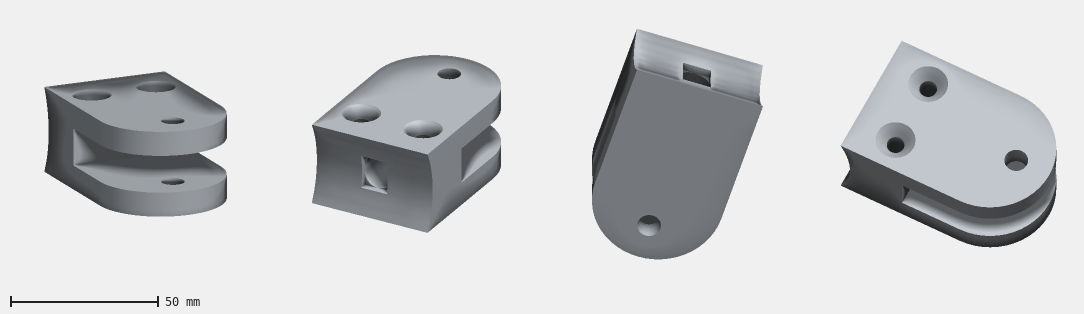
import cadquery as cq

length = 68.0
width = 45.0
height = 30.0

seat_radius = 33.0
seat_lining = 2.05

slot_start = 23.5
slot_height = 13.0

window_width = 10.0
window_height = 12.05

pin_x = 55.5
pin_diameter = 8.0
screw_x = 15.6
screw_spacing = 24.0
screw_diameter = 6.0
countersink_diameter = 13.5
screw_depth = 22.45
drill_tip_height = 1.7

nose_radius = width / 2
top_z = height / 2
seat_depth = seat_radius - (seat_radius**2 - top_z**2) ** 0.5


def clamp_body():
    """Block with a half-round nose, centred on the X axis."""
    straight_end = length - nose_radius
    return (
        cq.Workplane("XY", origin=(0, 0, -top_z))
        .moveTo(0, -nose_radius)
        .lineTo(straight_end, -nose_radius)
        .threePointArc((length, 0), (straight_end, nose_radius))
        .lineTo(0, nose_radius)
        .close()
        .extrude(height)
    )


def post_seat():
    """Cylinder that hollows the back face."""
    seat_axis_x = seat_depth - seat_radius
    return (
        cq.Workplane("XZ", origin=(seat_axis_x, 0, 0))
        .circle(seat_radius)
        .extrude(width, both=True)
    )


def glass_slot():
    slot_length = length - slot_start
    return cq.Workplane("XY").box(slot_length, width, slot_height).translate(
        (slot_start + slot_length / 2, 0, 0)
    )


def seat_window():
    """Rounded passage with a rectangular mouth as deep as the seat lining."""
    passage = (
        cq.Workplane("YZ")
        .slot2D(window_height, window_width, 90)
        .extrude(slot_start)
    )
    mouth_floor = seat_depth + seat_lining
    mouth = cq.Workplane("YZ").rect(window_width, window_height).extrude(mouth_floor)
    return passage.union(mouth)


def screw_hole(y):
    """Blind 90-degree countersunk hole with a conical drill tip."""
    screw_radius = screw_diameter / 2
    sink_radius = countersink_diameter / 2
    sink_floor = top_z - (sink_radius - screw_radius)
    hole_floor = top_z - screw_depth
    return (
        cq.Workplane("XZ", origin=(screw_x, y, 0))
        .moveTo(0, top_z)
        .lineTo(sink_radius, top_z)
        .lineTo(screw_radius, sink_floor)
        .lineTo(screw_radius, hole_floor)
        .lineTo(0, hole_floor - drill_tip_height)
        .close()
        .revolve(360, (0, 0, 0), (0, 1, 0))
    )


def pin_hole():
    return (
        cq.Workplane("XY", origin=(pin_x, 0, 0))
        .circle(pin_diameter / 2)
        .extrude(height, both=True)
    )


result = clamp_body().cut(post_seat()).cut(glass_slot()).cut(seat_window()).cut(pin_hole())
for side in (-1, 1):
    result = result.cut(screw_hole(side * screw_spacing / 2))